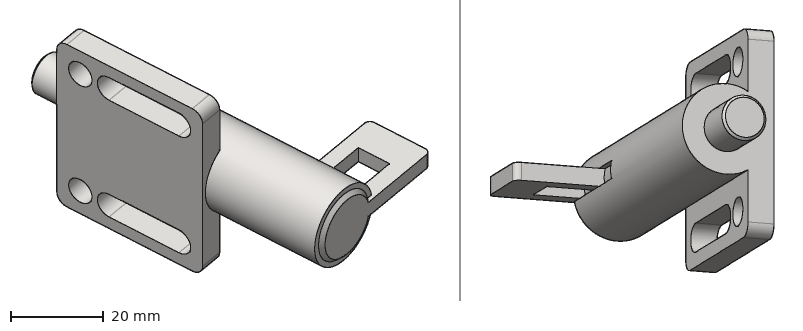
import cadquery as cq

total_length = 83.0

barrel_diameter = 20.0
barrel_radius = barrel_diameter / 2
barrel_start = 12.0
barrel_end = 82.0
barrel_length = barrel_end - barrel_start

plate_length = 40.0
plate_height = 46.0
plate_thickness = 6.0
plate_corner_radius = 2.8
plate_end = barrel_start + plate_length

hole_diameter = 6.4
hole_inset = 6.5
hole_to_slot = 7.9
hole_x = barrel_start + hole_inset
hole_z = plate_height / 2 - hole_inset
slot_near_x = hole_x + hole_to_slot
slot_far_x = plate_end - hole_inset
slot_center_x = (slot_near_x + slot_far_x) / 2
slot_length = slot_far_x - slot_near_x + hole_diameter

pin_diameter = barrel_diameter / 2
pin_radius = pin_diameter / 2
pin_chamfer = 0.6
rear_diameter = 17.3
rear_radius = rear_diameter / 2
rear_chamfer = total_length - barrel_end
rear_start = 58.1
rear_length = total_length - rear_start

handle_width = 16.9
handle_thickness = 4.0
handle_reach = 29.05
handle_corner_radius = 1.5
handle_start = total_length - handle_width

window_width = 8.55
window_inset = 4.0
window_rim = 8.7
window_start = handle_start + window_inset
window_top = handle_reach - window_rim

plate_back = -pin_radius
plate_front = plate_back - plate_thickness


def cylinder_along_x(radius, start, length):
    return cq.Workplane("YZ", origin=(start, 0, 0)).circle(radius).extrude(length)


def block(x_range, y_range, z_size):
    """Box over the given X and Y ranges, centred on Z = 0."""
    x_size = x_range[1] - x_range[0]
    y_size = y_range[1] - y_range[0]
    box = cq.Workplane("XY").box(x_size, y_size, z_size, centered=(False, False, True))
    return box.translate((x_range[0], y_range[0], 0))


def make_plate():
    plate = block((barrel_start, plate_end), (plate_front, plate_back), plate_height)
    plate = plate.edges("|Y").fillet(plate_corner_radius)
    face = cq.Workplane("XZ", origin=(0, plate_back, 0))
    holes = face.pushPoints([(hole_x, hole_z), (hole_x, -hole_z)])
    holes = holes.circle(hole_diameter / 2).extrude(plate_thickness)
    slots = face.pushPoints([(slot_center_x, hole_z), (slot_center_x, -hole_z)])
    slots = slots.slot2D(slot_length, hole_diameter).extrude(plate_thickness)
    return plate.cut(holes).cut(slots)


def make_housing():
    housing = cylinder_along_x(barrel_radius, barrel_start, barrel_length).union(make_plate())
    pin_bore = cylinder_along_x(pin_radius, barrel_start, barrel_length)
    rear_bore = cylinder_along_x(rear_radius, rear_start, rear_length)
    guide_slot = block((rear_start, barrel_end), (0, barrel_radius), handle_thickness)
    return housing.cut(pin_bore).cut(rear_bore).cut(guide_slot)


def make_handle():
    handle = block((handle_start, total_length), (0, handle_reach), handle_thickness)
    handle = handle.edges("|Z and >Y").fillet(handle_corner_radius)
    window = block((window_start, window_start + window_width), (0, window_top), handle_thickness)
    return handle.cut(window)


def make_bolt():
    pin = cylinder_along_x(pin_radius, 0, rear_start).faces("<X").chamfer(pin_chamfer)
    rear = cylinder_along_x(rear_radius, rear_start, rear_length).faces(">X").chamfer(rear_chamfer)
    return pin.union(rear).union(make_handle())


housing = make_housing()
bolt = make_bolt()

result = cq.Compound.makeCompound([housing.solids().val(), bolt.solids().val()])